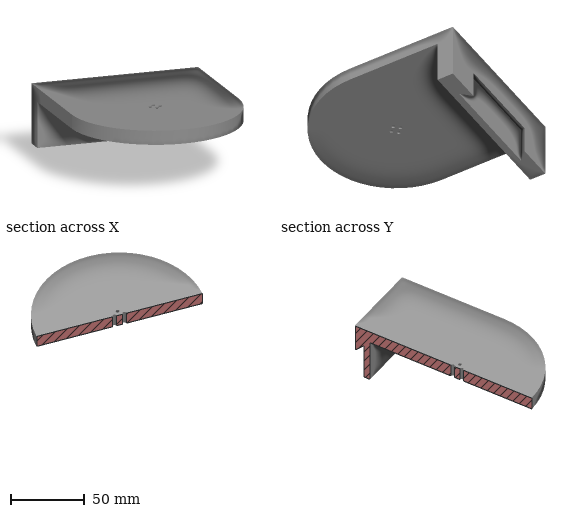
import cadquery as cq

length = 142.0
width = 120.0
height = 42.5

plate_thickness = 10.0
leg_thickness = 12.0
end_radius = width / 2
end_center_x = length - end_radius

recess_width = 66.0
recess_height = 20.7
recess_depth = 7.1
recess_flare = recess_depth

hole_diameter = 2.5
hole_circle_radius = 3.5
hole_count = 4


def make_plate():
    return (
        cq.Workplane("XY")
        .workplane(offset=height - plate_thickness)
        .moveTo(0, -end_radius)
        .lineTo(end_center_x, -end_radius)
        .threePointArc((length, 0), (end_center_x, end_radius))
        .lineTo(0, end_radius)
        .close()
        .extrude(plate_thickness)
    )


def make_recess():
    return (
        cq.Workplane("YZ")
        .rect(recess_width, 2 * recess_height)
        .workplane(offset=recess_depth)
        .rect(recess_width + 2 * recess_flare, 2 * (recess_height + recess_flare))
        .loft(ruled=True)
    )


def make_leg():
    leg = cq.Workplane("XY").box(leg_thickness, width, height, centered=(False, True, False))
    return leg.cut(make_recess())


def make_holes():
    return (
        cq.Workplane("XY")
        .workplane(offset=height - plate_thickness)
        .center(end_center_x, 0)
        .polarArray(hole_circle_radius, 0, 360, hole_count)
        .circle(hole_diameter / 2)
        .extrude(plate_thickness)
    )


result = make_plate().union(make_leg()).cut(make_holes())